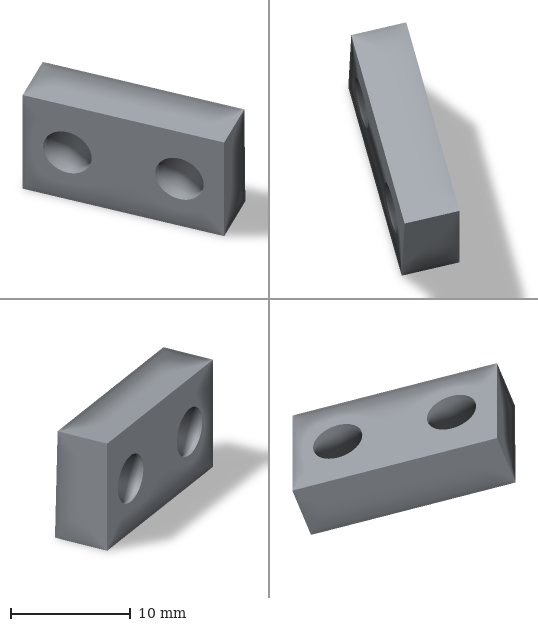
import cadquery as cq

length = 18.0
height = 10.0
base_depth = 5.0
top_depth = 4.75

hole_diameter = 4.32
hole_spacing = 10.0

profile = [
    (0, 0),
    (base_depth, 0),
    (top_depth, height),
    (0, height),
]
block = cq.Workplane("YZ").polyline(profile).close().extrude(length / 2, both=True)

holes = (
    cq.Workplane("XZ")
    .center(0, height / 2)
    .rarray(hole_spacing, 0.18, 2, 1)
    .circle(hole_diameter / 2)
    .extrude(-base_depth)
)

result = block.cut(holes)